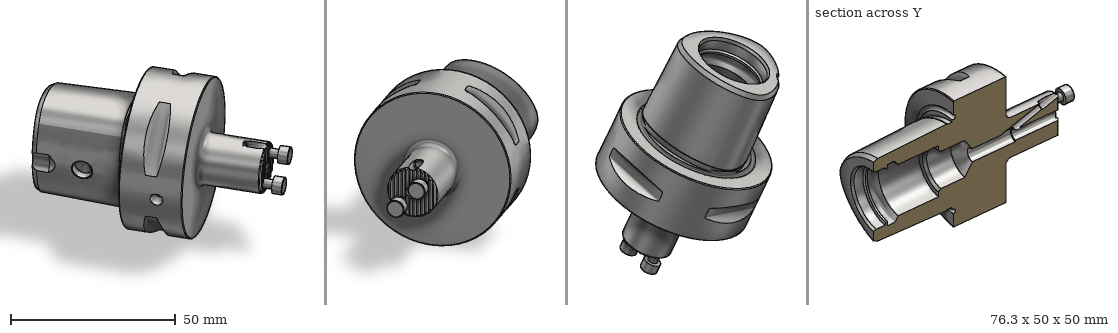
import cadquery as cq
import math


SHANK_END = 27.7
SHANK_CHAMFER = 1.5
FACE_RADIUS = 15.95
CHAMFERED_RADIUS = 16.8
SHANK_END_RADIUS = 17.55
LOBE_HEIGHT = 1.2
LOBE_COUNT = 3
LOBE_HALF_ANGLE = 28
CURVE_STEPS = 8

NECK_STEP = 0.2
COLLAR_START = 29.5
COLLAR_RADIUS = 17.85
NECK_TRIM_START = 28.0
NECK_TRIM_END = 28.8

FLANGE_START = 30.0
FLANGE_DIAMETER = 50.0
FLANGE_RADIUS = FLANGE_DIAMETER / 2
FLANGE_THICKNESS = 20.0
FLANGE_END = FLANGE_START + FLANGE_THICKNESS
FLANGE_CHAMFER = 0.3
RELIEF_RADIUS = 0.85

SLOT_X = 39.9
SLOT_FLOOR_DISTANCE = 22.2
SLOT_FLOOR_HALF_WIDTH = 1.75
SLOT_WALL_ANGLE = 30
SLOT_CORNER_RADIUS = 0.5
SLOT_ANGLES = (45, 135, 225, 315)

STEM_DIAMETER = 16
STEM_RADIUS = STEM_DIAMETER / 2
STEM_END = 70.05
STEM_FILLET = 2.0
STEM_CHAMFER = 0.7
TOOTH_DEPTH = 0.625
TOOTH_PITCH = 2 * TOOTH_DEPTH
TOOTH_VALLEYS = 13

MOUTH_DIAMETER = 23.4
MOUTH_CHAMFER = 1.0
ENTRY_DIAMETER = 22.6
ENTRY_END = 4.3
LIP_DIAMETER = 21.0
LIP_START = 4.65
UNDERCUT_DIAMETER = 24.0
UNDERCUT_START = 5.35
UNDERCUT_END = 7.55
UNDERCUT_FILLET = 0.9
UNDERCUT_FILLET_ANGLE = 60
CHAMBER_DIAMETER = 20.1
CHAMBER_START = 9.2
CHAMBER_END = 24.4
SEAT_DIAMETER = 16.4
PILOT_DIAMETER = 14.5
SEAT_DEPTH = 0.9
PILOT_END = 34.3
DRILL_HALF_ANGLE = 59
FEED_DIAMETER = 5.0
FEED_END = 53.4
OUTLET_DIAMETER = 4.0

SHANK_HOLE_X = 16.0
SHANK_HOLE_DIAMETER = 6.1
SHANK_HOLE_FLOOR = 13.0
SHANK_HOLE_COUNTERSINK = 0.34
FLANGE_HOLE_X = 42.0
FLANGE_HOLE_DIAMETER = 4.0
FLANGE_HOLE_FLOOR = 20.6

NOTCH_RADIUS = 4.4
NOTCH_AXIS_Y = -18.4
NOTCH_END = 5.35
NOTCH_TIP_LENGTH = 5.5

COOLANT_EXIT_X = 66.7
COOLANT_TILT = 20
COOLANT_MOUTH_DIAMETER = 3.3
COOLANT_DEPTH = 3.8
COOLANT_OVERRUN = 6.1
COOLANT_FEED_DIAMETER = 2.5

SCREW_OFFSET = 3.35
SCREW_PLACES = ((SCREW_OFFSET, SCREW_OFFSET), (-SCREW_OFFSET, -SCREW_OFFSET))
SCREW_DIAMETER = 3.0
SCREW_INSERTION = 6.1
SCREW_HEAD_DIAMETER = 5.5
SCREW_HEAD_START = 73.0
SCREW_HEAD_CHAMFER = 0.2
SCREW_END = 76.3

X_AXIS = cq.Vector(1, 0, 0)


def lobed_point(x, mean_radius, angle):
    """Point of the lobed outline whose normal stands at `angle` degrees from +Y."""
    turn = math.radians(angle)
    reach = mean_radius + LOBE_HEIGHT * math.cos(LOBE_COUNT * turn)
    slide = -LOBE_COUNT * LOBE_HEIGHT * math.sin(LOBE_COUNT * turn)
    y = reach * math.cos(turn) - slide * math.sin(turn)
    z = reach * math.sin(turn) + slide * math.cos(turn)
    return cq.Vector(x, y, z)


def lobed_wire(x, mean_radius):
    """Closed outline of alternating lobe and flank curves, square to X."""
    lobe_pitch = 360 / LOBE_COUNT
    edges = []
    for lobe in range(LOBE_COUNT):
        lobe_start = lobe * lobe_pitch - LOBE_HALF_ANGLE
        lobe_end = lobe * lobe_pitch + LOBE_HALF_ANGLE
        flank_end = lobe_start + lobe_pitch
        for start, end in ((lobe_start, lobe_end), (lobe_end, flank_end)):
            step = (end - start) / CURVE_STEPS
            points = [lobed_point(x, mean_radius, start + i * step) for i in range(CURVE_STEPS + 1)]
            edges.append(cq.Edge.makeSpline(points))
    return cq.Wire.assembleEdges(edges)


def lobed_frustum(start, start_radius, end, end_radius):
    wires = [lobed_wire(start, start_radius), lobed_wire(end, end_radius)]
    return cq.Workplane(cq.Solid.makeLoft(wires, True))


def revolve_about_x(profile):
    return profile.close().revolve(360, (0, 0, 0), (1, 0, 0))


def cylinder(radius, start, direction, length):
    return cq.Workplane(cq.Solid.makeCylinder(radius, length, start, direction))


def drill(diameter, start, direction, depth):
    """Blind hole with a conical drill point beyond its full-diameter depth."""
    radius = diameter / 2
    point_length = radius / math.tan(math.radians(DRILL_HALF_ANGLE))
    tip = cq.Solid.makeCone(radius, 0, point_length, start + direction * depth, direction)
    return cylinder(radius, start, direction, depth).union(cq.Workplane(tip))


def shank():
    chamfer = lobed_frustum(0, FACE_RADIUS, SHANK_CHAMFER, CHAMFERED_RADIUS)
    taper = lobed_frustum(SHANK_CHAMFER, CHAMFERED_RADIUS, SHANK_END, SHANK_END_RADIUS)
    return chamfer.union(taper)


def neck():
    """Stepped-down lobed neck, its lobes turned off to the collar radius."""
    neck_radius = SHANK_END_RADIUS - NECK_STEP
    lobed = lobed_frustum(SHANK_END, neck_radius, FLANGE_START, neck_radius)
    turned = revolve_about_x(
        cq.Workplane("XY")
        .moveTo(SHANK_END, 0)
        .lineTo(SHANK_END, SHANK_END_RADIUS + LOBE_HEIGHT)
        .lineTo(NECK_TRIM_START, SHANK_END_RADIUS + LOBE_HEIGHT)
        .lineTo(NECK_TRIM_END, COLLAR_RADIUS)
        .lineTo(FLANGE_START, COLLAR_RADIUS)
        .lineTo(FLANGE_START, 0)
    )
    return lobed.intersect(turned)


def flange_and_stem():
    relief_outer = COLLAR_RADIUS + 2 * RELIEF_RADIUS
    fillet_mid = STEM_FILLET * (1 - math.sqrt(0.5))
    return revolve_about_x(
        cq.Workplane("XY")
        .moveTo(COLLAR_START, 0)
        .lineTo(COLLAR_START, COLLAR_RADIUS)
        .lineTo(FLANGE_START, COLLAR_RADIUS)
        .threePointArc(
            (FLANGE_START + RELIEF_RADIUS, COLLAR_RADIUS + RELIEF_RADIUS),
            (FLANGE_START, relief_outer),
        )
        .lineTo(FLANGE_START, FLANGE_RADIUS - FLANGE_CHAMFER)
        .lineTo(FLANGE_START + FLANGE_CHAMFER, FLANGE_RADIUS)
        .lineTo(FLANGE_END - FLANGE_CHAMFER, FLANGE_RADIUS)
        .lineTo(FLANGE_END, FLANGE_RADIUS - FLANGE_CHAMFER)
        .lineTo(FLANGE_END, STEM_RADIUS + STEM_FILLET)
        .threePointArc(
            (FLANGE_END + fillet_mid, STEM_RADIUS + fillet_mid),
            (FLANGE_END + STEM_FILLET, STEM_RADIUS),
        )
        .lineTo(STEM_END - STEM_CHAMFER, STEM_RADIUS)
        .lineTo(STEM_END, STEM_RADIUS - STEM_CHAMFER)
        .lineTo(STEM_END, 0)
    )


def bore():
    cone_length = (PILOT_DIAMETER - FEED_DIAMETER) / 2 / math.tan(math.radians(DRILL_HALF_ANGLE))

    def undercut_fillet_point(angle):
        """Point of the undercut fillet after turning through `angle` degrees."""
        turn = math.radians(angle)
        x = UNDERCUT_END + UNDERCUT_FILLET * math.sin(turn)
        return x, UNDERCUT_DIAMETER / 2 - UNDERCUT_FILLET * (1 - math.cos(turn))

    return revolve_about_x(
        cq.Workplane("XY")
        .lineTo(0, MOUTH_DIAMETER / 2)
        .lineTo(MOUTH_CHAMFER, ENTRY_DIAMETER / 2)
        .lineTo(ENTRY_END, ENTRY_DIAMETER / 2)
        .lineTo(LIP_START, LIP_DIAMETER / 2)
        .lineTo(UNDERCUT_START, LIP_DIAMETER / 2)
        .lineTo(UNDERCUT_START, UNDERCUT_DIAMETER / 2)
        .lineTo(UNDERCUT_END, UNDERCUT_DIAMETER / 2)
        .threePointArc(
            undercut_fillet_point(UNDERCUT_FILLET_ANGLE / 2),
            undercut_fillet_point(UNDERCUT_FILLET_ANGLE),
        )
        .lineTo(CHAMBER_START, CHAMBER_DIAMETER / 2)
        .lineTo(CHAMBER_END, CHAMBER_DIAMETER / 2)
        .lineTo(CHAMBER_END, SEAT_DIAMETER / 2)
        .lineTo(CHAMBER_END + SEAT_DEPTH, PILOT_DIAMETER / 2)
        .lineTo(PILOT_END, PILOT_DIAMETER / 2)
        .lineTo(PILOT_END + cone_length, FEED_DIAMETER / 2)
        .lineTo(FEED_END, FEED_DIAMETER / 2)
        .lineTo(FEED_END, OUTLET_DIAMETER / 2)
        .lineTo(STEM_END, OUTLET_DIAMETER / 2)
        .lineTo(STEM_END, 0)
    )


def gripper_slots():
    """Straight trapezoidal slots with rounded floor corners, one per diagonal."""
    height = FLANGE_RADIUS - SLOT_FLOOR_DISTANCE
    rim_half_width = SLOT_FLOOR_HALF_WIDTH + height * math.tan(math.radians(SLOT_WALL_ANGLE))
    slot = (
        cq.Workplane("XZ")
        .moveTo(SLOT_X - SLOT_FLOOR_HALF_WIDTH, SLOT_FLOOR_DISTANCE)
        .lineTo(SLOT_X + SLOT_FLOOR_HALF_WIDTH, SLOT_FLOOR_DISTANCE)
        .lineTo(SLOT_X + rim_half_width, FLANGE_RADIUS)
        .lineTo(SLOT_X - rim_half_width, FLANGE_RADIUS)
        .close()
        .extrude(FLANGE_RADIUS, both=True)
        .edges("|Y and <Z")
        .fillet(SLOT_CORNER_RADIUS)
    )
    slots = cq.Workplane()
    for angle in SLOT_ANGLES:
        slots.add(slot.rotate((0, 0, 0), (1, 0, 0), angle).vals())
    return slots.combine()


def serration_cutter():
    """Row of V-grooves along Z that leaves sharp teeth on the stem end."""
    first_valley = -TOOTH_PITCH * (TOOTH_VALLEYS - 1) / 2
    row_start = first_valley - TOOTH_PITCH / 2
    row_end = row_start + TOOTH_PITCH * TOOTH_VALLEYS
    profile = cq.Workplane("XY").moveTo(STEM_END, row_start)
    for index in range(TOOTH_VALLEYS):
        valley = first_valley + index * TOOTH_PITCH
        profile = profile.lineTo(STEM_END - TOOTH_DEPTH, valley)
        profile = profile.lineTo(STEM_END, valley + TOOTH_PITCH / 2)
    profile = profile.lineTo(STEM_END + TOOTH_DEPTH, row_end)
    profile = profile.lineTo(STEM_END + TOOTH_DEPTH, row_start)
    return profile.close().extrude(STEM_DIAMETER, both=True)


def radial_holes():
    """Countersunk blind hole in the shank flank and plain blind hole in the flange rim."""
    inward = cq.Vector(0, 1, 0)
    shank_start = cq.Vector(SHANK_HOLE_X, -FLANGE_RADIUS, 0)
    shank_hole = drill(SHANK_HOLE_DIAMETER, shank_start, inward, FLANGE_RADIUS - SHANK_HOLE_FLOOR)
    taper_rate = (SHANK_END_RADIUS - CHAMFERED_RADIUS) / (SHANK_END - SHANK_CHAMFER)
    local_radius = CHAMFERED_RADIUS + (SHANK_HOLE_X - SHANK_CHAMFER) * taper_rate
    rim = cq.Vector(SHANK_HOLE_X, LOBE_HEIGHT - local_radius, 0)
    rim_radius = SHANK_HOLE_DIAMETER / 2 + SHANK_HOLE_COUNTERSINK
    countersink = cq.Workplane(cq.Solid.makeCone(rim_radius, 0, rim_radius, rim, inward))
    flange_start = cq.Vector(FLANGE_HOLE_X, -FLANGE_RADIUS, 0)
    flange_hole = drill(FLANGE_HOLE_DIAMETER, flange_start, inward, FLANGE_RADIUS - FLANGE_HOLE_FLOOR)
    return shank_hole.union(countersink).union(flange_hole)


def drive_notch():
    start = cq.Vector(0, NOTCH_AXIS_Y, 0)
    tip = cq.Solid.makeCone(NOTCH_RADIUS, 0, NOTCH_TIP_LENGTH, start + X_AXIS * NOTCH_END, X_AXIS)
    return cylinder(NOTCH_RADIUS, start, X_AXIS, NOTCH_END).union(cq.Workplane(tip))


def coolant_hole():
    """Hole sloping from the stem surface down to the bore, with a wider mouth."""
    tilt = math.radians(COOLANT_TILT)
    inward = cq.Vector(-math.cos(tilt), 0, -math.sin(tilt))
    surface_point = cq.Vector(COOLANT_EXIT_X, 0, STEM_RADIUS)
    start = surface_point - inward * COOLANT_OVERRUN
    mouth = drill(COOLANT_MOUTH_DIAMETER, start, inward, COOLANT_OVERRUN + COOLANT_DEPTH)
    feed_length = STEM_RADIUS / math.sin(tilt)
    return mouth.union(cylinder(COOLANT_FEED_DIAMETER / 2, surface_point, inward, feed_length))


def screw_hole(y, z):
    start = cq.Vector(STEM_END - SCREW_INSERTION, y, z)
    return cylinder(SCREW_DIAMETER / 2, start, X_AXIS, SCREW_INSERTION)


def make_holder():
    body = shank().union(neck()).union(flange_and_stem())
    body = body.cut(bore()).cut(gripper_slots()).cut(radial_holes()).cut(drive_notch())
    body = body.cut(serration_cutter()).cut(coolant_hole())
    for y, z in SCREW_PLACES:
        body = body.cut(screw_hole(y, z))
    return body


def make_screw(y, z):
    shaft_start = cq.Vector(STEM_END - SCREW_INSERTION, y, z)
    shaft = cylinder(SCREW_DIAMETER / 2, shaft_start, X_AXIS, SCREW_HEAD_START - shaft_start.x)
    head_start = cq.Vector(SCREW_HEAD_START, y, z)
    head = cylinder(SCREW_HEAD_DIAMETER / 2, head_start, X_AXIS, SCREW_END - SCREW_HEAD_START)
    return shaft.union(head.faces(">X").chamfer(SCREW_HEAD_CHAMFER))


holder = make_holder()
screws = [make_screw(y, z) for y, z in SCREW_PLACES]

result = cq.Compound.makeCompound([holder.val(), *[screw.val() for screw in screws]])